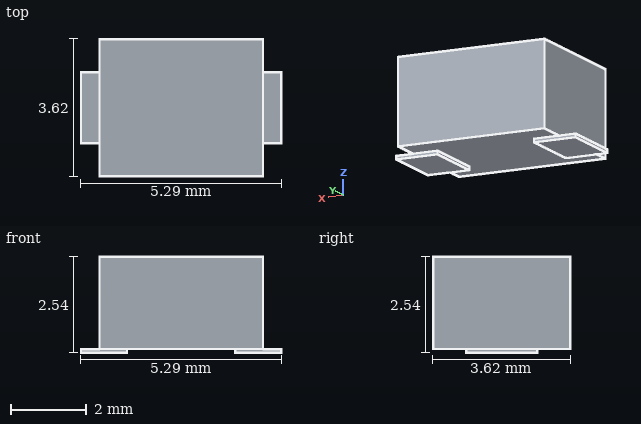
import cadquery as cq

overall_length = 5.29
overall_height = 2.54

body_length = 4.32
body_width = 3.62

lead_length = 1.22
lead_width = 1.88
lead_thickness = 0.10

body_height = overall_height - lead_thickness
lead_center_x = (overall_length - lead_length) / 2


def make_body():
    """Plain rectangular block resting on top of the leads."""
    return (
        cq.Workplane("XY")
        .workplane(offset=lead_thickness)
        .rect(body_length, body_width)
        .extrude(body_height)
    )


def make_lead(side):
    """Flat lead at the -X end (side = -1) or the +X end (side = 1)."""
    return (
        cq.Workplane("XY")
        .center(side * lead_center_x, 0)
        .rect(lead_length, lead_width)
        .extrude(lead_thickness)
    )


body = make_body()
leads = [make_lead(side) for side in (-1, 1)]

result = cq.Compound.makeCompound([body.val(), *[lead.val() for lead in leads]])